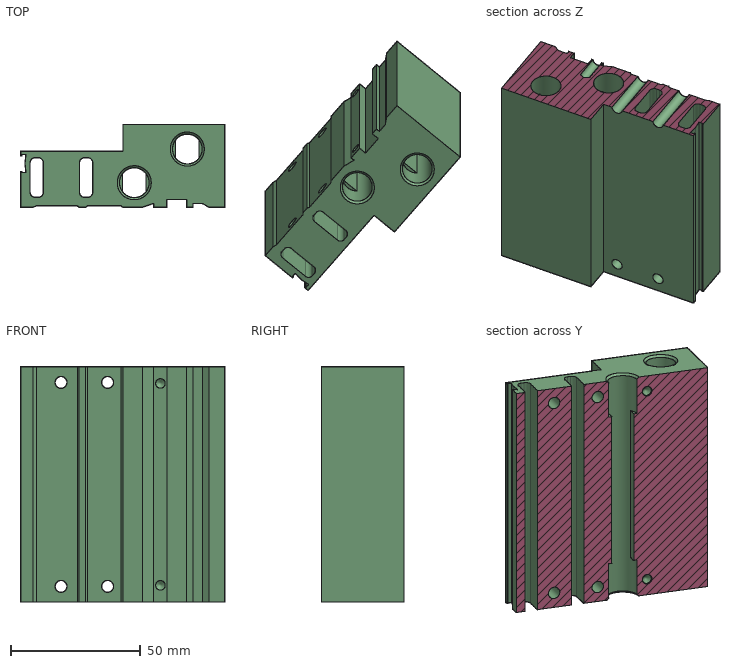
import cadquery as cq
import math

LENGTH = 91.0
WIDTH = 78.9
HEIGHT = 32.0
LOW_HEIGHT = 21.7
STEP_X = 39.5

PANEL_DEPTH = 0.5
CHANNEL_DEPTH = 3.0
LEDGE_DEPTH = 1.45
PANEL_1 = (4.7, 6.1, 21.9, 22.6)
PANEL_2 = (25.1, 25.8, 38.8, 39.5)
RAMP_START_X = 47.1
RAMP_END_X = 51.4
CHANNEL_START_X = 56.5
CHANNEL_END_X = 64.1
LEDGE_START_X = 66.6
LEDGE_FLOOR_END_X = 70.2
LEDGE_END_X = 72.7

SLOT_MID_Y = 16.9
SLOT_WIDTH = 6.8
LIP_HEIGHT = 0.4
LIP_THICKNESS = 0.5
SLOT_DEPTH = 2.0
SLOT_CROWN = 0.4

DUCT_CENTERS_X = (6.2, 25.3)
DUCT_MID_Y = 11.5
DUCT_WIDTH = 5.0
DUCT_HEIGHT = 15.2
DUCT_CORNER_RADIUS = 1.85

PORT_CENTERS = ((43.9, 9.5), (64.4, 22.5))
PORT_DIAMETER = 11.45
PORT_DEPTH = 15.0
PORT_CHAMFER_DIAMETER = 13.16
PASSAGE_WIDTH = 9.0

THROUGH_DIAMETER = 4.5
THROUGH_CENTERS_X = (15.6, 33.6)
THROUGH_END_DISTANCE = 6.1
BLIND_DIAMETER = 3.7
BLIND_CENTER_X = 54.0
BLIND_END_DISTANCE = 6.5
BLIND_DEPTH = 10.0
DRILL_POINT_ANGLE = 118.0


def panel_points(panel):
    """Corners of a shallow recess with sloped sides, from left to right."""
    slope_start, floor_start, floor_end, slope_end = panel
    return [
        (slope_start, 0),
        (floor_start, PANEL_DEPTH),
        (floor_end, PANEL_DEPTH),
        (slope_end, 0),
    ]


def front_points():
    """Corners along the front face from left to right."""
    return [
        *panel_points(PANEL_1),
        *panel_points(PANEL_2),
        (RAMP_START_X, 0),
        (RAMP_END_X, LEDGE_DEPTH),
        (RAMP_END_X, 0),
        (CHANNEL_START_X, 0),
        (CHANNEL_START_X, CHANNEL_DEPTH),
        (CHANNEL_END_X, CHANNEL_DEPTH),
        (CHANNEL_END_X, 0),
        (LEDGE_START_X, 0),
        (LEDGE_START_X, LEDGE_DEPTH),
        (LEDGE_FLOOR_END_X, LEDGE_DEPTH),
        (LEDGE_END_X, 0),
    ]


def label_slot_points():
    """Corners of the undercut slot, from its upper lip down to its lower lip."""
    top = SLOT_MID_Y + SLOT_WIDTH / 2
    bottom = SLOT_MID_Y - SLOT_WIDTH / 2
    return [
        (0, top - LIP_HEIGHT),
        (LIP_THICKNESS, top - LIP_HEIGHT),
        (LIP_THICKNESS, top),
        (SLOT_DEPTH, top),
        (SLOT_DEPTH - SLOT_CROWN, SLOT_MID_Y),
        (SLOT_DEPTH, bottom),
        (LIP_THICKNESS, bottom),
        (LIP_THICKNESS, bottom + LIP_HEIGHT),
        (0, bottom + LIP_HEIGHT),
    ]


def make_body():
    outline = [
        (0, 0),
        *front_points(),
        (WIDTH, 0),
        (WIDTH, HEIGHT),
        (STEP_X, HEIGHT),
        (STEP_X, LOW_HEIGHT),
        (0, LOW_HEIGHT),
        *label_slot_points(),
    ]
    return cq.Workplane("XY").polyline(outline).close().extrude(LENGTH)


def make_duct(center_x):
    return (
        cq.Workplane("XY")
        .center(center_x, DUCT_MID_Y)
        .rect(DUCT_WIDTH, DUCT_HEIGHT)
        .extrude(LENGTH)
        .edges("|Z")
        .fillet(DUCT_CORNER_RADIUS)
    )


def make_port():
    """Round port sunk from Z = 0 upward, with a 45 degree chamfer at its mouth."""
    chamfer = (PORT_CHAMFER_DIAMETER - PORT_DIAMETER) / 2
    bore = cq.Workplane("XY").circle(PORT_DIAMETER / 2).extrude(PORT_DEPTH)
    mouth = (
        cq.Workplane("XY")
        .circle(PORT_CHAMFER_DIAMETER / 2)
        .workplane(offset=chamfer)
        .circle(PORT_DIAMETER / 2)
        .loft()
    )
    return bore.union(mouth)


def make_passage(center):
    """Flat-sided passage over the full length with a port at both ends."""
    x, y = center
    round_bore = cq.Workplane("XY").circle(PORT_DIAMETER / 2).extrude(LENGTH)
    flats = cq.Workplane("XY").rect(PASSAGE_WIDTH, PORT_DIAMETER).extrude(LENGTH)
    bottom_port = make_port()
    top_port = bottom_port.mirror("XY").translate((0, 0, LENGTH))
    passage = round_bore.intersect(flats).union(bottom_port).union(top_port)
    return passage.translate((x, y, 0))


def end_pair(end_distance):
    """Heights of two holes placed symmetrically about mid-length."""
    return (end_distance, LENGTH - end_distance)


def make_through_hole(x, z):
    axis = cq.Vector(0, 1, 0)
    return cq.Solid.makeCylinder(THROUGH_DIAMETER / 2, HEIGHT, cq.Vector(x, 0, z), axis)


def make_blind_hole(x, z):
    """Drilled hole with a conical bottom."""
    radius = BLIND_DIAMETER / 2
    point_length = radius / math.tan(math.radians(DRILL_POINT_ANGLE / 2))
    return (
        cq.Workplane("XY")
        .polyline([(0, 0), (radius, 0), (radius, BLIND_DEPTH), (0, BLIND_DEPTH + point_length)])
        .close()
        .revolve(360, (0, 0), (0, 1))
        .translate((x, 0, z))
    )


result = make_body()

for duct_x in DUCT_CENTERS_X:
    result = result.cut(make_duct(duct_x))

for port_center in PORT_CENTERS:
    result = result.cut(make_passage(port_center))

for hole_z in end_pair(THROUGH_END_DISTANCE):
    for hole_x in THROUGH_CENTERS_X:
        result = result.cut(cq.Workplane(make_through_hole(hole_x, hole_z)))

for hole_z in end_pair(BLIND_END_DISTANCE):
    result = result.cut(make_blind_hole(BLIND_CENTER_X, hole_z))